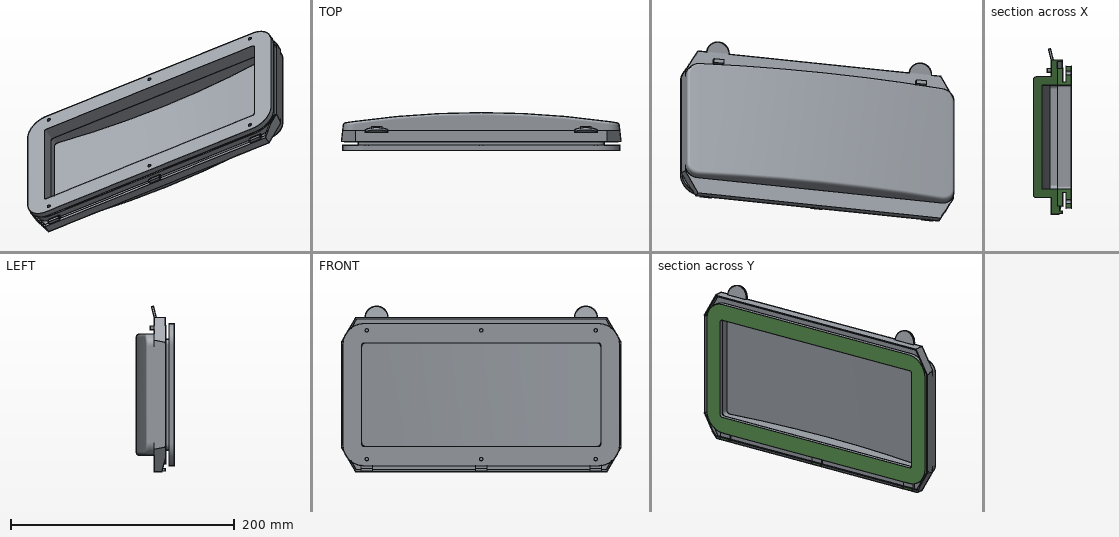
import cadquery as cq
import math


plate_half_x = 123.8
plate_half_z = 63.5
plate_thickness = 4.8
plate_corner_radius = 19.0
neck_inset = 13.8
flange_inset = 1.8
flange_corner_radius = 18.0
flange_front_y = 7.5
seat_y = 12.5
opening_half_x = 106.8
opening_half_z = 46.2
opening_corner_radius = 2.0
screw_hole_diameter = 3.0
screw_hole_x = 102.2
screw_hole_z = 57.5

frame_half_x = 125.0
frame_half_z = 69.0
frame_front_y = 8.0
frame_back_y = 18.0
corner_cut_z = 22.2
corner_angle = 60.0
end_draft = 6.5
lip_width = 1.5
bottom_lip_width = 2.2
bottom_bevel_start_z = -57.0
bottom_bevel_depth = 3.0

dome_half_z = 54.2
dome_top_y = 34.0
dome_edge_y = 26.2
dome_edge_x = 112.0
dome_corner_radius = 11.0
dome_rim_fillet = 2.8
dome_wall = 8.0
cavity_corner_radius = 3.5

tab_x = 93.5
tab_radius = 10.2
tab_thickness = 2.0
tab_tilt = 14.0
tab_root_y = 17.0
tab_root_depth = 0.8
lug_width = 9.2
lug_size = 3.5
lug_top_z = 61.5

hinge_pitch = 102.2
hinge_width = 10.5
hinge_size = 2.5
hinge_bottom_z = -68.2
hinge_web_front_y = 10.5

dome_radius = ((dome_top_y - dome_edge_y) ** 2 + dome_edge_x ** 2) / (2 * (dome_top_y - dome_edge_y))


def box(x0, x1, y0, y1, z0, z1):
    """Axis-aligned box between the given limits."""
    return cq.Workplane("XY").box(x1 - x0, y1 - y0, z1 - z0, centered=False).translate((x0, y0, z0))


def along_y(y0):
    """XZ sketch plane at depth y0; a negative extrusion runs toward +Y."""
    return cq.Workplane("XZ", origin=(0, y0, 0))


def rounded_block(half_x, half_z, y0, y1, radius):
    """Rectangular block from y0 to y1 with its four corners rounded."""
    block = along_y(y0).rect(2 * half_x, 2 * half_z).extrude(y0 - y1)
    return block.edges("|Y").fillet(radius)


def octagon(inset, y0, y1):
    """Block with the frame's outline, moved inward by inset on every side, from y0 to y1."""
    half_angle_shift = inset * math.tan(math.radians((90 - corner_angle) / 2))
    side_x = frame_half_x - inset
    side_z = frame_half_z - corner_cut_z - half_angle_shift
    top_z = frame_half_z - inset
    top_x = side_x - (top_z - side_z) / math.tan(math.radians(corner_angle))
    outline = [
        (side_x, side_z), (top_x, top_z), (-top_x, top_z), (-side_x, side_z),
        (-side_x, -side_z), (-top_x, -top_z), (top_x, -top_z), (side_x, -side_z),
    ]
    return along_y(y0).polyline(outline).close().extrude(y0 - y1)


def arched_block(half_x, draft, half_z, y0, arc_radius):
    """Block from y0 back to an arc about the dome's axis; half_x holds at the frame's front."""
    lean = math.tan(math.radians(draft))
    front_x = half_x - (y0 - frame_front_y) * lean
    back_x = half_x - (dome_top_y - frame_front_y) * lean
    wedge = (
        cq.Workplane("XY", origin=(0, 0, -half_z))
        .polyline([(-front_x, y0), (-back_x, dome_top_y), (back_x, dome_top_y), (front_x, y0)])
        .close()
        .extrude(2 * half_z)
    )
    arc_cylinder = (
        cq.Workplane("XY", origin=(0, dome_top_y - dome_radius, -half_z))
        .circle(arc_radius)
        .extrude(2 * half_z)
    )
    return wedge.intersect(arc_cylinder)


def make_panel():
    plate = rounded_block(plate_half_x, plate_half_z, 0, plate_thickness, plate_corner_radius)
    holes = along_y(0).pushPoints(
        [(x, z) for x in (-screw_hole_x, 0, screw_hole_x) for z in (-screw_hole_z, screw_hole_z)]
    ).circle(screw_hole_diameter / 2).extrude(-plate_thickness)
    neck = rounded_block(
        plate_half_x - neck_inset, plate_half_z - neck_inset,
        plate_thickness, flange_front_y, plate_corner_radius - neck_inset,
    )
    flange = rounded_block(
        plate_half_x - flange_inset, plate_half_z - flange_inset,
        flange_front_y, seat_y, flange_corner_radius,
    )
    opening = rounded_block(opening_half_x, opening_half_z, 0, seat_y, opening_corner_radius)
    return plate.cut(holes).union(neck).union(flange).cut(opening)


def make_frame():
    frame = octagon(0, frame_front_y, frame_back_y)
    draft_limits = arched_block(frame_half_x, end_draft, frame_half_z, frame_front_y, dome_radius)
    bevel = (
        cq.Workplane("YZ", origin=(-frame_half_x, 0, 0))
        .moveTo(frame_front_y, bottom_bevel_start_z)
        .lineTo(frame_front_y + bottom_bevel_depth, -frame_half_z)
        .lineTo(frame_front_y, -frame_half_z)
        .close()
        .extrude(2 * frame_half_x)
    )
    return frame.intersect(draft_limits).cut(bevel)


def make_pocket():
    """Recess in the frame's front that holds the panel's flange."""
    pocket = octagon(lip_width, frame_front_y, seat_y)
    bottom_lip = box(
        -frame_half_x, frame_half_x, frame_front_y, seat_y,
        -frame_half_z, -frame_half_z + bottom_lip_width,
    )
    return pocket.cut(bottom_lip)


def make_dome():
    dome = arched_block(frame_half_x, end_draft, dome_half_z, frame_front_y, dome_radius)
    dome = dome.faces("<X or >X").edges("not |Z").fillet(dome_corner_radius)
    return dome.faces(">Y").edges().fillet(dome_rim_fillet)


def make_cavity():
    cavity = arched_block(opening_half_x, 0, opening_half_z, seat_y, dome_radius - dome_wall)
    return cavity.edges("|Y").fillet(cavity_corner_radius)


def make_tab(x):
    """Half-round tab leaning backward out of the frame's top edge."""
    tab = (
        cq.Workplane("XZ", origin=(0, tab_thickness / 2, 0))
        .moveTo(-tab_radius, -tab_root_depth)
        .lineTo(-tab_radius, 0)
        .threePointArc((0, tab_radius), (tab_radius, 0))
        .lineTo(tab_radius, -tab_root_depth)
        .close()
        .extrude(tab_thickness)
    )
    return tab.rotate((0, 0, 0), (1, 0, 0), -tab_tilt).translate((x, tab_root_y, frame_half_z))


def make_lug(x):
    return box(
        x - lug_width / 2, x + lug_width / 2,
        frame_back_y, frame_back_y + lug_size,
        lug_top_z - lug_size, lug_top_z,
    )


def make_hinge(x):
    """Square bar across the bevelled lip, with a web reaching up into the pocket."""
    x0 = x - hinge_width / 2
    x1 = x + hinge_width / 2
    bar_top_z = hinge_bottom_z + hinge_size
    web_top_z = -(plate_half_z - flange_inset)
    bar = box(x0, x1, frame_front_y, seat_y, hinge_bottom_z, bar_top_z)
    web = box(x0, x1, hinge_web_front_y, seat_y, bar_top_z, web_top_z)
    return bar.union(web)


def make_housing():
    housing = make_frame().union(make_dome()).cut(make_pocket()).cut(make_cavity())
    for x in (-tab_x, tab_x):
        housing = housing.union(make_tab(x)).union(make_lug(x))
    for x in (-hinge_pitch, 0, hinge_pitch):
        housing = housing.union(make_hinge(x))
    return housing


panel = make_panel()
housing = make_housing()

result = cq.Compound.makeCompound([panel.val(), housing.val()])